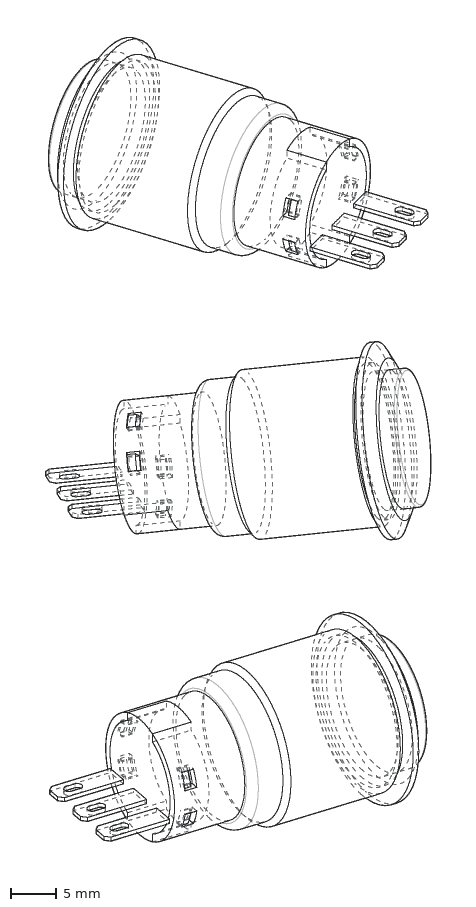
import cadquery as cq

TOTAL_LENGTH = 40.6

BUTTON_DIAMETER = 15.5
BUTTON_ROUND = 0.265

FLANGE_FRONT = 2.0
FLANGE_RIM_START = 3.1
FLANGE_BACK = 3.8
BARREL_START = 4.55
BARREL_END = 18.65
SHELL_END = 23.4
SLEEVE_END = 32.45

FLANGE_DIAMETER = 22.0
FLANGE_FRONT_DIAMETER = 18.1
NECK_DIAMETER = 17.5
BARREL_DIAMETER = 18.9
SLEEVE_DIAMETER = 14.9
SHELL_END_ROUND = 0.97
BARREL_BEVEL = 0.6

BLOCK_START = 27.45
BLOCK_DIAMETER = 13.0
TAB_WIDTH = 5.35

WINDOW_START = 29.48
WINDOW_END = 30.98
WINDOW_HEIGHT = 2.0
WINDOW_OFFSET = 2.5
LATCH_DIAMETER = 14.4
LATCH_GAP = 0.12
LATCH_RAMP_START = 29.75
LATCH_RAMP_END = 30.05

TERMINAL_COUNT = 3
TERMINAL_PITCH = 5.0
TERMINAL_WIDTH = 2.85
TERMINAL_THICKNESS = 0.53
TERMINAL_Z = -2.4
TERMINAL_CORNER = 0.55
EYELET_X = 38.1
EYELET_LENGTH = 2.25
EYELET_WIDTH = 1.15


def cylinder(diameter, x_start, x_end):
    """Solid cylinder around the X axis."""
    return cq.Workplane("YZ", origin=(x_start, 0, 0)).circle(diameter / 2).extrude(x_end - x_start)


def block(x_start, x_end, y_size, z_size, y=0, z=0):
    """Box between two X stations, centred at the given Y and Z."""
    return cq.Workplane("YZ", origin=(x_start, y, z)).rect(y_size, z_size).extrude(x_end - x_start)


def make_button():
    """Flat push button that fills the bezel opening."""
    return cylinder(BUTTON_DIAMETER, 0, FLANGE_BACK).faces("<X").edges().fillet(BUTTON_ROUND)


def tab_slabs():
    """Slab across the sleeve whose top and bottom ends form the two tabs."""
    return block(BLOCK_START, SLEEVE_END, TAB_WIDTH, SLEEVE_DIAMETER)


def window_slabs(height):
    """Slabs of the given height through both flanks of the sleeve, one for each row of windows."""
    slabs = cq.Workplane("XY")
    for z in (-WINDOW_OFFSET, WINDOW_OFFSET):
        slabs = slabs.union(block(WINDOW_START, WINDOW_END, SLEEVE_DIAMETER, height, z=z))
    return slabs


def make_housing():
    """Bezel, barrel and rear sleeve, bored for the button and the terminal block."""
    bevel_end = BARREL_END + BARREL_BEVEL
    profile = [
        (FLANGE_FRONT, 0),
        (FLANGE_FRONT, FLANGE_FRONT_DIAMETER / 2),
        (FLANGE_RIM_START, FLANGE_DIAMETER / 2),
        (FLANGE_BACK, FLANGE_DIAMETER / 2),
        (FLANGE_BACK, NECK_DIAMETER / 2),
        (BARREL_START, NECK_DIAMETER / 2),
        (BARREL_START, BARREL_DIAMETER / 2),
        (BARREL_END, BARREL_DIAMETER / 2),
        (bevel_end, NECK_DIAMETER / 2),
        (SHELL_END, NECK_DIAMETER / 2),
        (SHELL_END, 0),
    ]
    shell = cq.Workplane("XY").polyline(profile).close().revolve(360, (0, 0, 0), (1, 0, 0))
    shell = shell.faces(">X").edges().fillet(SHELL_END_ROUND)
    housing = shell.union(cylinder(SLEEVE_DIAMETER, SHELL_END, SLEEVE_END))
    housing = housing.cut(cylinder(BUTTON_DIAMETER, FLANGE_FRONT, FLANGE_BACK))
    housing = housing.cut(cylinder(BLOCK_DIAMETER, BLOCK_START, SLEEVE_END))
    return housing.cut(tab_slabs()).cut(window_slabs(WINDOW_HEIGHT))


def make_latches():
    """Four snap latches: sectors of a turned ring with a ramp at the front."""
    profile = [
        (LATCH_RAMP_START, 0),
        (LATCH_RAMP_START, BLOCK_DIAMETER / 2),
        (LATCH_RAMP_END, LATCH_DIAMETER / 2),
        (WINDOW_END, LATCH_DIAMETER / 2),
        (WINDOW_END, 0),
    ]
    ramped_disc = cq.Workplane("XY").polyline(profile).close().revolve(360, (0, 0, 0), (1, 0, 0))
    return ramped_disc.intersect(window_slabs(WINDOW_HEIGHT - 2 * LATCH_GAP))


def make_terminal(y):
    """Flat solder lug with clipped corners and an eyelet slot."""
    lug = block(SLEEVE_END, TOTAL_LENGTH, TERMINAL_WIDTH, TERMINAL_THICKNESS, y, TERMINAL_Z)
    lug = lug.edges(">X and |Z").chamfer(TERMINAL_CORNER)
    eyelet = (
        cq.Workplane("XY", origin=(EYELET_X, y, TERMINAL_Z))
        .slot2D(EYELET_LENGTH, EYELET_WIDTH)
        .extrude(TERMINAL_THICKNESS, both=True)
    )
    return lug.cut(eyelet)


def make_terminal_block():
    """Plug with flush tabs, snap latches and its row of terminals."""
    tabs = tab_slabs().intersect(cylinder(SLEEVE_DIAMETER, BLOCK_START, SLEEVE_END))
    plug = cylinder(BLOCK_DIAMETER, BLOCK_START, SLEEVE_END).union(tabs).union(make_latches())
    for index in range(TERMINAL_COUNT):
        y = (index - (TERMINAL_COUNT - 1) / 2) * TERMINAL_PITCH
        plug = plug.union(make_terminal(y))
    return plug


button = make_button()
housing = make_housing()
terminal_block = make_terminal_block()

result = cq.Compound.makeCompound([button.val(), housing.val(), terminal_block.val()])